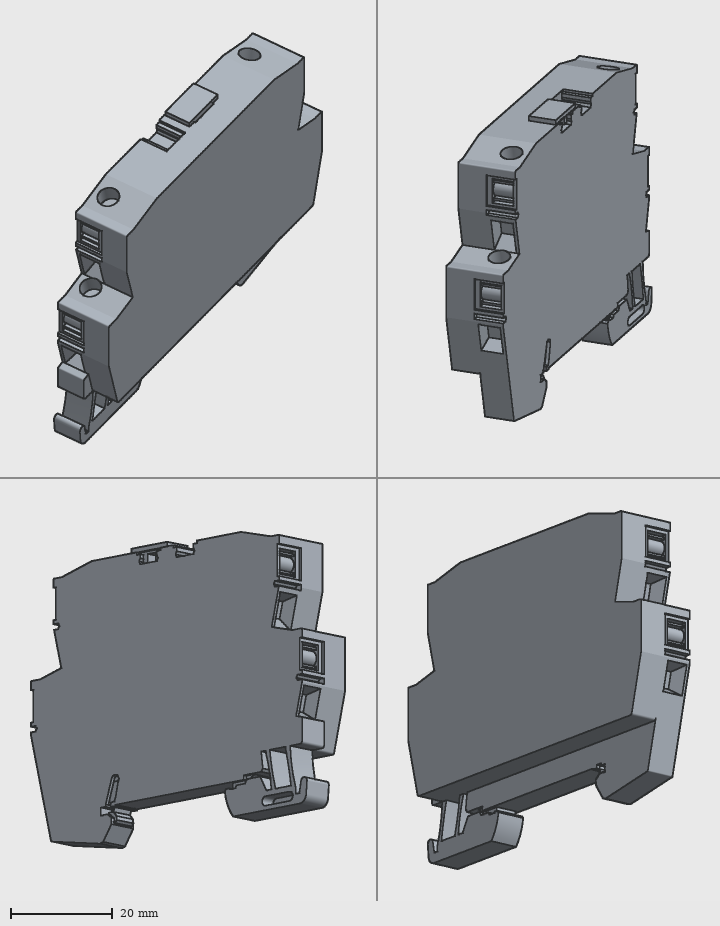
import cadquery as cq
import math


WIDTH = 12.2
RAIL_WIDTH = 6.2
SKIN = 0.75
TOP_Z = 57.1
SKIRT_Z = 12.2
RAIL_Z = 7.2
EDGE_RADIUS = 0.3
SKIRT_RADIUS = 0.5
LEAN = 0.25
LEAN_ANGLE = math.atan(LEAN)

WAIST_Z = 36.8
LIP_Z = 17.95
UPPER_TIER = {"half": 30.95, "top": 55.0, "lean_z": 45.3, "ledge": 2.35, "step_z": WAIST_Z}
LOWER_TIER = {"half": 37.2, "top": 35.35, "lean_z": 24.5, "ledge": 2.6, "step_z": LIP_Z}
TIERS = (UPPER_TIER, LOWER_TIER)

MARKER_DROP = 1.8
MARKER_HEIGHT = 6.5
MARKER_DEPTH = 0.6
GROOVE_DROP = 9.15
GROOVE_HEIGHT = 1.1
GROOVE_DEPTH = 1.6
GROOVE_LIP = 0.4
WINDOW_DROP = 2.6
WINDOW_HEIGHT = 5.15
WINDOW_DEPTH = 3.8
WINDOW_X0 = 0.7
WINDOW_X1 = 5.15
FUNNEL_X = (0.7, 5.4)
FUNNEL_FLOOR_X = (1.9, 4.9)
FUNNEL_DROP = 11.35
FUNNEL_FLOOR_DROP = (12.2, 15.6)
FUNNEL_DEPTH = 3.2
SCREW_INSET = 6.35
SCREW_X = 3.5
SCREW_RADIUS = 2.2
SCREW_DEPTH = 3.8
SCREW_CLEARANCE = 0.15

CLAMP_SETBACK = 1.05
CLAMP_GAP = 0.45
CLAMP_JAW = 0.45
CLAMP_RADIUS = WINDOW_HEIGHT / 2 - CLAMP_GAP - CLAMP_JAW

LABEL_SEAT_Y = 4.9
SPARE_SEAT_Y = -5.1
SEAT_MOUTH_HALF = 3.25
SEAT_NECK_HALF = 2.3
SEAT_BULGE_HALF = 2.6
SEAT_SHOULDER = 0.5
SEAT_BULGE_RISE = 0.6
SEAT_DEPTH = 2.6
LABEL_LENGTH = 9.85
LABEL_THICKNESS = 1.0
LABEL_X0 = 0.2
LABEL_X1 = 6.0
STEM_X0 = 0.9
LEG_INNER = 1.05
LEG_LENGTH = 2.3

FOOT_Z = 0.2
FOOT_BRIDGE_Z = 4.2
FINGER_SLOT = {"y": -30.4, "z": 2.08, "length": 8.4, "height": 1.9}
FINGER_SLOT_DEPTH = RAIL_WIDTH / 2


def prism(points, x0, x1):
    """Closed straight-sided (Y, Z) outline extruded from x0 to x1."""
    return cq.Workplane("YZ").workplane(offset=x0).polyline(points).close().extrude(x1 - x0)


def other_end(points):
    """The outline points mirrored to the opposite end, in reverse order."""
    return [(-y, z) for y, z in reversed(points)]


def both_ends(shape):
    """A shape at the -Y end and its mirror image at the +Y end."""
    return [shape, shape.mirror("XZ")]


def lean_y(tier, z):
    """Half length of the leaning end face of a tier at height z."""
    return tier["half"] - LEAN * (tier["lean_z"] - z)


UPPER_LEDGE_Y = UPPER_TIER["half"] - UPPER_TIER["ledge"]
CROWN_HALF = UPPER_LEDGE_Y - (TOP_Z - UPPER_TIER["top"]) / LEAN
STEPPED_END = [
    (CROWN_HALF, TOP_Z),
    (UPPER_LEDGE_Y, UPPER_TIER["top"]),
    (UPPER_TIER["half"], UPPER_TIER["top"]),
    (UPPER_TIER["half"], UPPER_TIER["lean_z"]),
    (lean_y(UPPER_TIER, WAIST_Z), WAIST_Z),
    (LOWER_TIER["half"] - LOWER_TIER["ledge"], LOWER_TIER["top"]),
    (LOWER_TIER["half"], LOWER_TIER["top"]),
    (LOWER_TIER["half"], LOWER_TIER["lean_z"]),
]
HEEL_Z = 2.35
HEEL = (lean_y(LOWER_TIER, HEEL_Z), HEEL_Z)
LIP_END_Z = 17.6
FIXED_JAW = [(18.2, 0), (17.3, 0.2), (15.1, 3.5), (15.1, 4.8), (16.1, 5.6), (17.95, 5.6)]
RAIL_SEAT = [
    (17.95, RAIL_Z), (16.65, RAIL_Z), (16.65, 7.65), (15.3, 7.65), (15.3, 7.0), (14.0, 7.0), (14.0, RAIL_Z),
    (-21.2, RAIL_Z), (-21.2, 8.1), (-26.0, 8.1), (-26.4, 8.7), (-26.0, SKIRT_Z),
]
FRONT_LIP = [
    (-LOWER_TIER["half"], SKIRT_Z),
    (-LOWER_TIER["half"], LIP_END_Z),
    (-lean_y(LOWER_TIER, LIP_Z), LIP_Z),
]


def housing_blank():
    """Rail layer and full-width layer, joined into one body."""
    rail_outline = STEPPED_END + [HEEL] + FIXED_JAW + RAIL_SEAT + FRONT_LIP + other_end(STEPPED_END)
    skirt_corner = (lean_y(LOWER_TIER, SKIRT_Z), SKIRT_Z)
    wide_end = STEPPED_END + [skirt_corner]
    wide_outline = wide_end + other_end(wide_end)
    skirt_corners = [skirt_corner] + other_end([skirt_corner])
    rail_layer = round_edges(prism(rail_outline, 0, RAIL_WIDTH), [FRONT_LIP[0]], SKIRT_RADIUS)
    wide_layer = round_edges(prism(wide_outline, RAIL_WIDTH, WIDTH), skirt_corners, SKIRT_RADIUS)
    blank = rail_layer.union(wide_layer).clean()
    return round_edges(blank, small_corners(), EDGE_RADIUS)


def small_corners():
    """(Y, Z) of the outline corners that are slightly rounded over."""
    tier_corners = [(side * tier["half"], tier["top"]) for tier in TIERS for side in (1, -1)]
    return tier_corners + [FRONT_LIP[1], HEEL]


def round_edges(body, corners, radius):
    """Fillet the edges along X that start at the given (Y, Z) corners."""
    tolerance = 0.01
    edges = [
        edge
        for edge in body.edges("|X").vals()
        if any(math.dist((edge.Center().y, edge.Center().z), corner) < tolerance for corner in corners)
    ]
    return body.newObject(edges).fillet(radius)


OUTER_LEG_HEEL = (-35.5, 3.3)
FOOT_TOP = [(-17.4, 5.8), (-18.9, 5.8), (-19.15, 6.35), (-21.5, 6.35), (-22.0, RAIL_Z)]


def spring_foot():
    """Hooked foot that snaps under the rail, with a pull tab at its outer end."""
    outline = (
        cq.Workplane("YZ")
        .moveTo(*FOOT_TOP[0])
        .polyline(FOOT_TOP, includeCurrent=False)
        .lineTo(-25.7, RAIL_Z)
        .lineTo(-27.4, FOOT_BRIDGE_Z)
        .lineTo(-34.15, FOOT_BRIDGE_Z)
        .lineTo(*OUTER_LEG_HEEL)
        .lineTo(-35.5, 2.35)
        .lineTo(-36.4, 2.35)
        .lineTo(-36.9, 4.55)
        .threePointArc((-37.7, 5.4), (-38.5, 4.55))
        .lineTo(-38.3, 2.0)
        .threePointArc((-37.8, 0.75), (-36.5, FOOT_Z))
        .lineTo(-18.25, FOOT_Z)
        .threePointArc((-16.9, 2.4), (-16.0, 5.6))
        .lineTo(-16.35, 6.05)
        .lineTo(-17.1, 6.05)
        .close()
    )
    finger_slot = (
        cq.Workplane("YZ")
        .center(FINGER_SLOT["y"], FINGER_SLOT["z"])
        .slot2D(FINGER_SLOT["length"], FINGER_SLOT["height"])
        .extrude(FINGER_SLOT_DEPTH)
    )
    return outline.extrude(RAIL_WIDTH).cut(finger_slot)


def spring_leg(inner_arc, outer_arc):
    """Bowed leg between housing and foot; each arc lists its top, middle and bottom point."""
    return (
        cq.Workplane("YZ")
        .moveTo(*inner_arc[0])
        .threePointArc(inner_arc[1], inner_arc[2])
        .lineTo(*outer_arc[2])
        .threePointArc(outer_arc[1], outer_arc[0])
        .close()
        .extrude(RAIL_WIDTH)
    )


INNER_LEG = (
    [(-27.1, SKIRT_Z), (-27.85, 9.55), (-28.8, FOOT_BRIDGE_Z)],
    [(-28.3, SKIRT_Z), (-28.8, 9.1), (-29.9, FOOT_BRIDGE_Z)],
)
OUTER_LEG = (
    [(-32.55, SKIRT_Z), (-33.3, 8.9), (-34.15, FOOT_BRIDGE_Z)],
    [(-33.9, SKIRT_Z), (-34.4, 7.95), OUTER_LEG_HEEL],
)


def marker_recess(tier):
    """Shallow step in the end face around the clamp window."""
    top = tier["top"] - MARKER_DROP
    end = -tier["half"]
    floor = end + MARKER_DEPTH
    outline = [(end, top), (floor, top), (floor, top - MARKER_HEIGHT), (end, top - MARKER_HEIGHT)]
    return prism(outline, 0, RAIL_WIDTH)


def end_groove(tier):
    """Pointed groove under the clamp window."""
    top = tier["top"] - GROOVE_DROP
    bottom = top - GROOVE_HEIGHT
    end = -tier["half"]
    floor = end + GROOVE_DEPTH
    shoulder = floor - GROOVE_LIP
    middle = (top + bottom) / 2
    outline = [(end, top), (shoulder, top), (floor, middle), (shoulder, bottom), (end, bottom)]
    return prism(outline, 0, RAIL_WIDTH)


def clamp_window(tier):
    """Rectangular pocket that holds the clamp."""
    top = tier["top"] - WINDOW_DROP
    end = -tier["half"]
    floor = end + WINDOW_DEPTH
    outline = [(end, top), (floor, top), (floor, top - WINDOW_HEIGHT), (end, top - WINDOW_HEIGHT)]
    return prism(outline, WINDOW_X0, WINDOW_X1)


def wire_funnel(tier):
    """Tapered wire entry, square to the leaning end face."""
    z0 = tier["lean_z"]
    mouth_top = tier["top"] - FUNNEL_DROP
    floor_top, floor_bottom = (tier["top"] - drop for drop in FUNNEL_FLOOR_DROP)
    plane = cq.Plane(
        origin=(0, -tier["half"], z0),
        xDir=(1, 0, 0),
        normal=(0, -math.cos(LEAN_ANGLE), -math.sin(LEAN_ANGLE)),
    )

    def along_face(z, depth):
        return (z - z0 - depth * math.sin(LEAN_ANGLE)) / math.cos(LEAN_ANGLE)

    def corners(x_range, top_z, bottom_z, depth):
        high = along_face(top_z, depth)
        low = along_face(bottom_z, depth)
        return [(x_range[0], low), (x_range[1], low), (x_range[1], high), (x_range[0], high)]

    mouth = cq.Workplane(plane).polyline(corners(FUNNEL_X, mouth_top, tier["step_z"], 0)).close()
    floor = corners(FUNNEL_FLOOR_X, floor_top, floor_bottom, FUNNEL_DEPTH)
    return mouth.workplane(offset=-FUNNEL_DEPTH).polyline(floor).close().loft(ruled=True)


def screw_hole(tier):
    """Blind screwdriver hole, square to the sloping shoulder above the clamp."""
    z = tier["top"] + LEAN * (SCREW_INSET - tier["ledge"])
    plane = cq.Plane(
        origin=(SCREW_X, SCREW_INSET - tier["half"], z),
        xDir=(1, 0, 0),
        normal=(0, -math.sin(LEAN_ANGLE), math.cos(LEAN_ANGLE)),
    )
    bore = cq.Workplane(plane).workplane(offset=SCREW_CLEARANCE).circle(SCREW_RADIUS)
    return bore.extrude(-SCREW_DEPTH - SCREW_CLEARANCE)


def label_seat(centre_y):
    """Snap-in seat in the housing top: wide mouth, neck and a slight bulge near the floor."""
    shoulder_z = TOP_Z - SEAT_SHOULDER
    floor_z = TOP_Z - SEAT_DEPTH
    bulge_z = floor_z + SEAT_BULGE_RISE
    neck_z = bulge_z + SEAT_BULGE_RISE
    half = [
        (SEAT_MOUTH_HALF, TOP_Z),
        (SEAT_MOUTH_HALF, shoulder_z),
        (SEAT_NECK_HALF, shoulder_z),
        (SEAT_NECK_HALF, neck_z),
        (SEAT_BULGE_HALF, bulge_z),
        (SEAT_NECK_HALF, floor_z),
    ]
    outline = [(centre_y + y, z) for y, z in half + other_end(half)]
    return prism(outline, 0, RAIL_WIDTH)


CONTACT_X1 = RAIL_WIDTH - SKIN
SLOT_SILL_Z = 7.9
SLOT_TOP_ARC = [(15.1, 12.5), (14.1, 13.25), (13.1, 12.35)]
SLOT_RIGHT_FOOT = (13.9, 8.7)


def contact_slot():
    """Round-topped opening in the side wall in front of the spring contact."""
    return (
        cq.Workplane("YZ")
        .moveTo(16.65, 7.65)
        .lineTo(*SLOT_TOP_ARC[0])
        .threePointArc(SLOT_TOP_ARC[1], SLOT_TOP_ARC[2])
        .lineTo(*SLOT_RIGHT_FOOT)
        .lineTo(14.3, SLOT_SILL_Z)
        .lineTo(15.3, SLOT_SILL_Z)
        .lineTo(15.3, 7.65)
        .close()
        .extrude(SKIN)
    )


def spring_contact():
    """Inclined contact leaf that ends in a hook above the fixed jaw."""
    outline = [
        (16.65, 7.65), (15.15, 12.1), (13.1, 12.1), SLOT_RIGHT_FOOT, (14.0, 7.0), (14.9, 7.0), (15.2, 6.05),
        (14.45, 5.15), (14.3, 4.3), (14.9, 3.7), (16.6, 5.6), (16.6, 6.05), (15.75, 6.1), (15.3, 7.0), (15.3, 7.65),
    ]
    return prism(outline, SKIN, CONTACT_X1)


def foot_contact():
    """Contact pad between the rail seat and the spring foot."""
    outline = FOOT_TOP + [(-23.3, 8.1), (-21.2, 8.1), (-21.2, RAIL_Z), (-17.4, RAIL_Z)]
    return prism(outline, SKIN, CONTACT_X1)


def clamp(tier):
    """Wire clamp: a barrel between an upper and a lower jaw, seated on the back wall of its window."""
    middle = tier["top"] - WINDOW_DROP - WINDOW_HEIGHT / 2
    top = middle + CLAMP_RADIUS + CLAMP_JAW
    bottom = middle - CLAMP_RADIUS - CLAMP_JAW
    front = CLAMP_SETBACK - tier["half"]
    back = WINDOW_DEPTH - tier["half"]
    barrel_root = front + CLAMP_RADIUS
    return (
        cq.Workplane("YZ")
        .workplane(offset=WINDOW_X0)
        .moveTo(back, top)
        .lineTo(front, top)
        .lineTo(front, middle + CLAMP_RADIUS)
        .lineTo(barrel_root, middle + CLAMP_RADIUS)
        .threePointArc((front, middle), (barrel_root, middle - CLAMP_RADIUS))
        .lineTo(front, middle - CLAMP_RADIUS)
        .lineTo(front, bottom)
        .lineTo(back, bottom)
        .close()
        .extrude(WINDOW_X1 - WINDOW_X0)
    )


def label_plate():
    """Label plate with a stem of two legs that snap into its seat."""
    half_length = LABEL_LENGTH / 2
    plate_top = TOP_Z + LABEL_THICKNESS
    shoulder_z = TOP_Z - SEAT_SHOULDER
    leg_end_z = TOP_Z - LEG_LENGTH
    half_plate = [(half_length, plate_top), (half_length, TOP_Z)]
    half_stem = [
        (SEAT_MOUTH_HALF, TOP_Z),
        (SEAT_MOUTH_HALF, shoulder_z),
        (SEAT_NECK_HALF, shoulder_z),
        (SEAT_NECK_HALF, leg_end_z),
        (LEG_INNER, leg_end_z),
        (LEG_INNER, shoulder_z),
    ]
    plate = [(LABEL_SEAT_Y + y, z) for y, z in half_plate + other_end(half_plate)]
    stem = [(LABEL_SEAT_Y + y, z) for y, z in half_stem + other_end(half_stem)]
    return prism(plate, LABEL_X0, LABEL_X1).union(prism(stem, STEM_X0, LABEL_X1))


contacts = [spring_contact(), foot_contact()]

housing = housing_blank().union(spring_foot())
for leg_arcs in (INNER_LEG, OUTER_LEG):
    housing = housing.union(spring_leg(*leg_arcs))
housing = housing.clean()

cutouts = [label_seat(LABEL_SEAT_Y), label_seat(SPARE_SEAT_Y), contact_slot(), *contacts]
for tier in TIERS:
    for cutout in (
        marker_recess(tier), end_groove(tier), clamp_window(tier), wire_funnel(tier), screw_hole(tier)
    ):
        cutouts += both_ends(cutout)
for cutout in cutouts:
    housing = housing.cut(cutout)

clamps = [body for tier in TIERS for body in both_ends(clamp(tier))]
label = label_plate()

bodies = [housing, label, *clamps, *contacts]
result = cq.Compound.makeCompound([body.solids().val() for body in bodies])